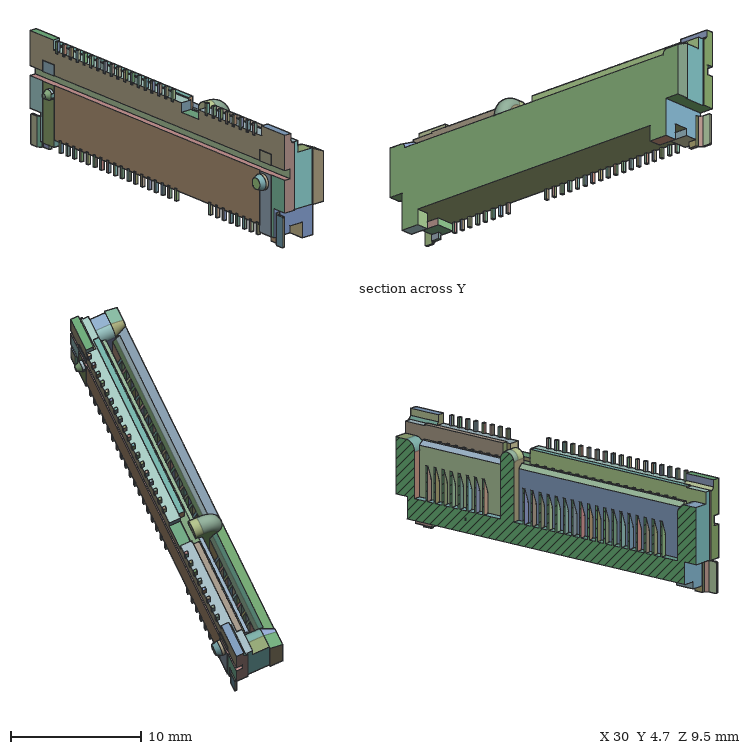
import cadquery as cq

HALF_LENGTH = 15.0
DEPTH = 4.0
HEIGHT = 9.5
BOARD_GAP = 0.06

SHOULDER_Z = 3.1
CENTER_BOTTOM_Z = 1.3
FRONT_LEG_Z = 0.72
NOTCH_FLOOR_Z = 8.68
RAISED_RIDGE_Z = 8.78
END_BLOCK_Z = 7.72

FLANGE_TOP_Y = 0.7
FLANGE_FOOT_Y = 0.9
FLANGE_Y = 1.03
RIDGE_Y = 1.5
FRONT_LEG_Y = 1.67
BACK_LEG_Y = 2.92
FLANGE_TOP_FOOT_Z = 8.93

END_RELIEF = 0.13
LEG_OUTER_X = 13.75
LEG_INNER_X = 12.1
OPENING_HALF = 12.98
DOME_RADIUS = 0.88
DOME_BACK_RADIUS = 0.4
DOME_X = OPENING_HALF + DOME_RADIUS
BACK_WALL_Z = END_BLOCK_Z - DOME_RADIUS
END_BLOCK_BACK_Z = BACK_WALL_Z + DOME_BACK_RADIUS
NOTCH_HALF = 12.25

SLOT_FLOOR_Z = SHOULDER_Z
SLOT_FRONT_Y = 2.1
SLOT_BACK_Y = 2.68
LEDGE_Y = 1.75
LEDGE_Z = 7.6
LEAD_IN_FRONT_Z = LEDGE_Z - (SLOT_FRONT_Y - LEDGE_Y)
LEAD_IN_MID_Y = 2.95
LEAD_IN_TOP_Y = 3.28
LEAD_IN_MID_Z = BACK_WALL_Z - (LEAD_IN_TOP_Y - LEAD_IN_MID_Y)
LEAD_IN_STEEPNESS = 1.9
LEAD_IN_BOTTOM_Z = LEAD_IN_MID_Z - LEAD_IN_STEEPNESS * (LEAD_IN_MID_Y - SLOT_BACK_Y)

KEY_X = 3.85
KEY_RADIUS = 0.7
KEY_TOP_Z = 8.66
KEY_NOSE_RADIUS = KEY_TOP_Z - BACK_WALL_Z
KEY_SLOT_WIDTH = 2.02
KEY_SLOT_Z = 7.9
KEY_GAP_WIDTH = 2.67

GROOVE_BOTTOM_Z = 5.8
GROOVE_TOP_Z = 6.6
GROOVE_Y = 0.6
LAND_OUTER_X = 13.46
LAND_TOP_Z = 7.5

PITCH = 0.8
LONG_GROUP = 18
KEYED_POSITIONS = 4
SHORT_GROUP = 8
CONTACT_WIDTH = 0.22
TAIL_THICKNESS = 0.27
UPPER_ROW_X = -11.8
LOWER_ROW_X = UPPER_ROW_X + PITCH / 2
UPPER_TAIL_Z = 8.5
LOWER_TAIL_BOTTOM_Z = 0.45
LOWER_TAIL_TOP_Z = 1.47
UPPER_SPRING_Z = 7.7
LOWER_SPRING_FRONT_Z = 4.8
LOWER_SPRING_Y = 2.25

PEG_X = 12.5
PEG_Z = 5.0
PEG_LENGTH = 0.7
PEG_STRAIGHT = 0.25
SMALL_PEG_RADIUS = 0.44
SMALL_PEG_TIP_RADIUS = 0.2
LARGE_PEG_RADIUS = 0.66
LARGE_PEG_TIP_RADIUS = 0.46

TAB_BOTTOM_Z = 0.19
TAB_TOP_Z = 2.73
TAB_OUTER_X = 14.85
TAB_BEND_X = 14.11
TAB_TAIL_X = 13.05
TAB_THICKNESS = 0.18
TAB_OFFSET = 0.22
TAB_TAIL_FRONT_Y = 0.33
TAB_TAIL_BACK_Y = 0.6
TAB_TAIL_EXPOSED = 0.04
TAB_STEP_X = LEG_OUTER_X + TAB_TAIL_EXPOSED
TAB_CORNER = 0.08


def block(x0, x1, y0, y1, z0, z1):
    return cq.Workplane("XY").box(x1 - x0, y1 - y0, z1 - z0, centered=False).translate((x0, y0, z0))


def bar(points, x0, x1):
    """Extrude a (Y, Z) outline from x0 to x1."""
    return cq.Workplane("YZ").workplane(offset=x0).polyline(points).close().extrude(x1 - x0)


def mirrored(shape):
    """Join a left-hand shape with its right-hand twin."""
    return shape.union(shape.mirror("YZ"))


def make_flange():
    """Tall board-side wall with a wide notch for the upper contacts."""
    outline = [
        (BOARD_GAP, SHOULDER_Z),
        (BOARD_GAP, HEIGHT),
        (FLANGE_TOP_Y, HEIGHT),
        (FLANGE_TOP_Y, FLANGE_TOP_FOOT_Z),
        (FLANGE_FOOT_Y, NOTCH_FLOOR_Z),
        (FLANGE_Y, NOTCH_FLOOR_Z),
        (FLANGE_Y, SHOULDER_Z),
    ]
    flange = bar(outline, -HALF_LENGTH, HALF_LENGTH)
    notch = block(-NOTCH_HALF, NOTCH_HALF, 0, FLANGE_Y, NOTCH_FLOOR_Z, HEIGHT)
    return flange.cut(notch)


def make_ridge():
    """Ridge in front of the slot: raised beside the contacts, broken at the key."""
    relieved = HALF_LENGTH - END_RELIEF
    ridge = block(-relieved, relieved, FLANGE_Y, RIDGE_Y, SHOULDER_Z, NOTCH_FLOOR_Z)
    ridge = ridge.union(block(-OPENING_HALF, OPENING_HALF, FLANGE_Y, RIDGE_Y, SHOULDER_Z, RAISED_RIDGE_Z))
    gap_half = KEY_GAP_WIDTH / 2
    return ridge.cut(block(KEY_X - gap_half, KEY_X + gap_half, FLANGE_Y, RIDGE_Y, LEDGE_Z, RAISED_RIDGE_Z))


def make_slotted_middle():
    """Body between the end blocks, with the card slot open to the top."""
    outline = [
        (FLANGE_Y, SHOULDER_Z),
        (FLANGE_Y, LEDGE_Z),
        (LEDGE_Y, LEDGE_Z),
        (SLOT_FRONT_Y, LEAD_IN_FRONT_Z),
        (SLOT_FRONT_Y, SLOT_FLOOR_Z),
        (SLOT_BACK_Y, SLOT_FLOOR_Z),
        (SLOT_BACK_Y, LEAD_IN_BOTTOM_Z),
        (LEAD_IN_MID_Y, LEAD_IN_MID_Z),
        (LEAD_IN_TOP_Y, BACK_WALL_Z),
        (DEPTH, BACK_WALL_Z),
        (DEPTH, CENTER_BOTTOM_Z),
        (BOARD_GAP, CENTER_BOTTOM_Z),
        (BOARD_GAP, SHOULDER_Z),
    ]
    return bar(outline, -OPENING_HALF, OPENING_HALF)


def make_end_block():
    """Left end block: its top slopes down to the back, its inner edge is rounded and tapers."""
    outline = [
        (RIDGE_Y, SHOULDER_Z),
        (RIDGE_Y, END_BLOCK_Z),
        (BACK_LEG_Y, END_BLOCK_Z),
        (DEPTH, END_BLOCK_BACK_Z),
        (DEPTH, SHOULDER_Z),
    ]
    outer = bar(outline, -HALF_LENGTH, -DOME_X)
    inner = block(-DOME_X, -OPENING_HALF, RIDGE_Y, DEPTH, SHOULDER_Z, BACK_WALL_Z)
    relief = block(-HALF_LENGTH, END_RELIEF - HALF_LENGTH, RIDGE_Y, BACK_LEG_Y, SHOULDER_Z, END_BLOCK_Z)
    dome = (
        cq.Workplane("XY")
        .polyline([
            (0, RIDGE_Y),
            (DOME_RADIUS, RIDGE_Y),
            (DOME_RADIUS, BACK_LEG_Y),
            (DOME_BACK_RADIUS, DEPTH),
            (0, DEPTH),
        ])
        .close()
        .revolve(360, (0, 0, 0), (0, 1, 0))
        .translate((-DOME_X, 0, BACK_WALL_Z))
    )
    return outer.union(inner).union(dome).cut(relief)


def make_leg():
    """Left leg, stepped so that it clears the space between its front and back feet."""
    outline = [
        (BOARD_GAP, SHOULDER_Z),
        (BOARD_GAP, FRONT_LEG_Z),
        (FRONT_LEG_Y, FRONT_LEG_Z),
        (FRONT_LEG_Y, CENTER_BOTTOM_Z),
        (BACK_LEG_Y, CENTER_BOTTOM_Z),
        (BACK_LEG_Y, 0),
        (DEPTH, 0),
        (DEPTH, SHOULDER_Z),
    ]
    land = block(-LAND_OUTER_X, -LEG_INNER_X, 0, FLANGE_Y, FRONT_LEG_Z, LAND_TOP_Z)
    return bar(outline, -LEG_OUTER_X, -LEG_INNER_X).union(land)


def make_key():
    """Round-topped key across the slot, its nose turned down over the back wall."""
    axis_y = DEPTH - KEY_NOSE_RADIUS
    side_height = KEY_NOSE_RADIUS - KEY_RADIUS

    def section():
        return (
            cq.Workplane("XZ", origin=(KEY_X, axis_y, BACK_WALL_Z))
            .moveTo(-KEY_RADIUS, 0)
            .lineTo(-KEY_RADIUS, side_height)
            .threePointArc((0, KEY_NOSE_RADIUS), (KEY_RADIUS, side_height))
            .lineTo(KEY_RADIUS, 0)
            .close()
        )

    straight = section().extrude(axis_y - RIDGE_Y)
    nose = section().revolve(90, (1, 0, 0), (0, 0, 0))
    web = block(KEY_X - KEY_RADIUS, KEY_X + KEY_RADIUS, RIDGE_Y, LEAD_IN_TOP_Y, SLOT_FLOOR_Z, BACK_WALL_Z)
    return straight.union(nose).union(web)


def contact_positions(first_x):
    """X positions of one row, leaving the places at the key empty."""
    short_start = LONG_GROUP + KEYED_POSITIONS
    places = list(range(LONG_GROUP)) + list(range(short_start, short_start + SHORT_GROUP))
    return [first_x + PITCH * place for place in places]


def make_contacts(first_x, outlines):
    """One row of contacts, each made of bars with the given (Y, Z) outlines."""
    half = CONTACT_WIDTH / 2
    bars = []
    for x in contact_positions(first_x):
        for outline in outlines:
            bars.append(bar(outline, x - half, x + half).val())
    return cq.Workplane().newObject(bars)


def rectangle(y0, y1, z0, z1):
    return [(y0, z0), (y1, z0), (y1, z1), (y0, z1)]


def make_peg(x, radius, tip_radius):
    """Tapered peg, cut flat where it would overhang the inner edge of its land."""
    peg = (
        cq.Workplane("XY")
        .polyline([
            (0, GROOVE_Y),
            (radius, GROOVE_Y),
            (radius, -PEG_STRAIGHT),
            (tip_radius, -PEG_LENGTH),
            (0, -PEG_LENGTH),
        ])
        .close()
        .revolve(360, (0, 0, 0), (0, 1, 0))
        .translate((x, 0, PEG_Z))
    )
    overhang = block(-LEG_INNER_X, LEG_INNER_X, -PEG_LENGTH, GROOVE_Y, PEG_Z - radius, PEG_Z + radius)
    return peg.cut(overhang)


def make_tab():
    """Left solder tab: a joggled strip held in the front leg."""
    outline = [
        (-TAB_OUTER_X, 0),
        (-TAB_BEND_X, 0),
        (-TAB_STEP_X, TAB_OFFSET),
        (-TAB_STEP_X, TAB_TAIL_FRONT_Y),
        (-TAB_TAIL_X, TAB_TAIL_FRONT_Y),
        (-TAB_TAIL_X, TAB_TAIL_BACK_Y),
        (-TAB_STEP_X, TAB_TAIL_BACK_Y),
        (-TAB_STEP_X, TAB_OFFSET + TAB_THICKNESS),
        (-TAB_BEND_X, TAB_THICKNESS),
        (-TAB_OUTER_X, TAB_THICKNESS),
    ]
    strip = cq.Workplane("XY").workplane(offset=TAB_BOTTOM_Z).polyline(outline).close()
    tab = strip.extrude(TAB_TOP_Z - TAB_BOTTOM_Z)
    return tab.edges("|Y").edges("<X").chamfer(TAB_CORNER)


body = make_flange().union(make_ridge()).union(make_slotted_middle())
body = body.union(mirrored(make_end_block())).union(mirrored(make_leg()))

key_slot_half = KEY_SLOT_WIDTH / 2
body = body.cut(block(KEY_X - key_slot_half, KEY_X + key_slot_half, 0, FLANGE_Y, KEY_SLOT_Z, HEIGHT))
body = body.union(make_key())
body = body.cut(block(-HALF_LENGTH, HALF_LENGTH, 0, GROOVE_Y, GROOVE_BOTTOM_Z, GROOVE_TOP_Z))

upper_outlines = [
    rectangle(0, TAIL_THICKNESS, UPPER_TAIL_Z, HEIGHT),
    rectangle(RIDGE_Y, LEDGE_Y, LEDGE_Z, UPPER_SPRING_Z),
]
lower_outlines = [
    rectangle(0, TAIL_THICKNESS, LOWER_TAIL_BOTTOM_Z, LOWER_TAIL_TOP_Z),
    [
        (LOWER_SPRING_Y, SLOT_FLOOR_Z),
        (LOWER_SPRING_Y, LOWER_SPRING_FRONT_Z),
        (SLOT_BACK_Y, LEAD_IN_BOTTOM_Z),
        (SLOT_BACK_Y, SLOT_FLOOR_Z),
    ],
]
body = body.union(make_contacts(UPPER_ROW_X, upper_outlines))
body = body.union(make_contacts(LOWER_ROW_X, lower_outlines))

body = body.union(make_peg(-PEG_X, SMALL_PEG_RADIUS, SMALL_PEG_TIP_RADIUS))
body = body.union(make_peg(PEG_X, LARGE_PEG_RADIUS, LARGE_PEG_TIP_RADIUS))
result = body.union(mirrored(make_tab()))